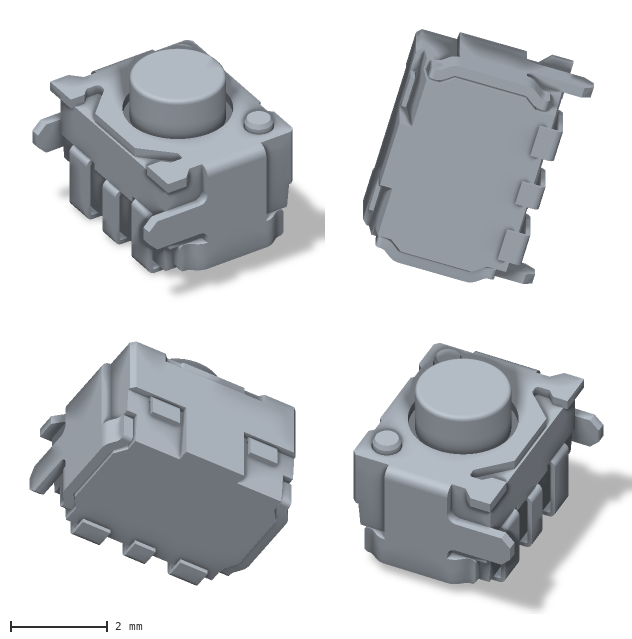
import cadquery as cq
import math


housing_bottom = 0.15
skirt_bottom = 0.2
flap_top = 0.855
front_step_z = 1.5
rear_step_z = 1.4
cover_top = 2.7
peg_shoulder = 2.8
peg_top = 2.9
button_top = 3.55

sheet = 0.22
cover_bottom = cover_top - sheet
housing_half_x = 2.01
housing_half_y = 1.6
rear_corner_chamfer = 0.1
skirt_half_x = housing_half_x + sheet

base_front_top_y = -1.552
base_front_bottom_y = -1.45
base_rear_top_y = 1.445
base_rear_bottom_y = 1.33
base_waist_half_x = 1.967
base_waist_half_y = 0.77
base_end_half_x = 1.77
base_end_half_y = 1.04
front_lip_width = 1.4
front_lip_drop = 0.15
rear_rib_width = 1.4

peg_x = 1.465
peg_y = 1.05
peg_diameter = 0.595
peg_chamfer = 0.05
peg_hole_diameter = 0.64

button_diameter = 2.0
button_fillet = 0.1
button_hole_diameter = 2.3

ear_half_x = 2.25
ear_front_y = -1.7
ear_shoulder_y = -1.245
ear_root_y = -1.02
ear_root_fillet = 0.08
front_edge_half_x = 0.757
front_edge_y = -1.55
notch_end_y = -0.91
notch_outer_x = 1.61
notch_neck_x = 1.455
notch_shoulder_y = -1.21
notch_neck_y = notch_shoulder_y - (notch_outer_x - notch_neck_x)
notch_inner_x = front_edge_half_x + (notch_end_y - front_edge_y)
notch_fillet = 0.07
rear_tab_y = 1.56
rear_tab_half_x = 0.74
rear_notch_y = 1.5
rear_notch_inner_x = 0.775
rear_notch_outer_x = 1.11
rear_notch_mouth_x = 1.2

skirt_rear_y = 0.74
skirt_front_y = -0.705
arm_tip_y = -2.15
arm_top = 1.85
arm_bottom = 1.145
arm_tip_chamfer = 0.2
arm_root_fillet = 0.2
flap_angle = math.radians(37)
flap_outer_bend = 0.366
flap_straight = 0.144
flap_return_bend = 0.196
flap_end_length = 0.105
flap_corner_fillet = 0.1

strip = 0.1
strip_bend = 0.15
terminal_front_y = -housing_half_y - strip
foot_end_y = -1.19
terminal_root_depth = 0.2
outer_terminal_x = 1.18
outer_terminal_width = 0.66
middle_terminal_width = 0.495
rear_terminal_bottom = 0.89


def block(x0, x1, y0, y1, z0, z1):
    return cq.Workplane("XY").box(x1 - x0, y1 - y0, z1 - z0, centered=False).translate((x0, y0, z0))


def extruded_across_x(profile, x0, width):
    """Extrude a closed YZ profile along +X from x0."""
    return profile.extrude(width).translate((x0, 0, 0))


def front_terminal(x, width, top):
    """C-shaped strip: root in the housing, drop along the front face, foot turned back underneath."""
    root_y = base_front_top_y + terminal_root_depth
    inner_y = terminal_front_y + strip
    bend_y = terminal_front_y + strip_bend
    inner_bend = strip_bend - strip
    profile = (
        cq.Workplane("YZ").moveTo(root_y, top).lineTo(bend_y, top)
        .radiusArc((terminal_front_y, top - strip_bend), -strip_bend)
        .lineTo(terminal_front_y, strip_bend).radiusArc((bend_y, 0), -strip_bend)
        .lineTo(foot_end_y, 0).lineTo(foot_end_y, strip)
        .lineTo(bend_y, strip).radiusArc((inner_y, strip_bend), inner_bend)
        .lineTo(inner_y, top - strip_bend).radiusArc((bend_y, top - strip), inner_bend)
        .lineTo(root_y, top - strip).close()
    )
    return extruded_across_x(profile, x - width / 2, width)


def rear_terminal(x):
    """Short L-shaped strip: root in the housing, stub hanging down at the rear face."""
    root_y = base_rear_top_y - terminal_root_depth
    inner_y = housing_half_y - strip
    inner_bend = strip_bend - strip
    profile = (
        cq.Workplane("YZ").moveTo(root_y, rear_step_z).lineTo(housing_half_y - strip_bend, rear_step_z)
        .radiusArc((housing_half_y, rear_step_z - strip_bend), strip_bend)
        .lineTo(housing_half_y, rear_terminal_bottom).lineTo(inner_y, rear_terminal_bottom)
        .lineTo(inner_y, rear_step_z - strip_bend)
        .radiusArc((inner_y - inner_bend, rear_step_z - strip), -inner_bend)
        .lineTo(root_y, rear_step_z - strip).close()
    )
    return extruded_across_x(profile, x - outer_terminal_width / 2, outer_terminal_width)


outer_terminals = [
    front_terminal(side * outer_terminal_x, outer_terminal_width, front_step_z) for side in (-1, 1)
]
middle_terminal = front_terminal(0, middle_terminal_width, front_step_z - front_lip_drop)
rear_terminals = [rear_terminal(side * outer_terminal_x) for side in (-1, 1)]
terminals = [*outer_terminals, middle_terminal, *rear_terminals]


def housing_base():
    """Drafted lower half, narrowed below the flap tops to make room for the cover's flaps."""
    drafted = extruded_across_x(
        cq.Workplane("YZ").polyline([
            (base_front_bottom_y, housing_bottom), (base_front_top_y, front_step_z),
            (0, front_step_z), (base_rear_top_y, rear_step_z), (base_rear_bottom_y, housing_bottom),
        ]).close(),
        -housing_half_x, 2 * housing_half_x,
    )
    quarter = [
        (base_waist_half_x, base_waist_half_y), (base_end_half_x, base_end_half_y),
        (base_end_half_x, housing_half_y),
    ]
    right_side = [(x, -y) for x, y in reversed(quarter)] + quarter
    left_side = [(-x, -y) for x, y in right_side]
    waist = (
        cq.Workplane("XY").workplane(offset=housing_bottom).polyline(right_side + left_side).close()
        .extrude(flap_top - housing_bottom)
    )
    upper = block(-housing_half_x, housing_half_x, -housing_half_y, housing_half_y, flap_top, front_step_z)
    return drafted.intersect(waist.union(upper))


def peg(side):
    return (
        cq.Workplane("XY").workplane(offset=cover_bottom).center(side * peg_x, peg_y)
        .circle(peg_diameter / 2).extrude(peg_top - cover_bottom)
        .faces(">Z").chamfer(peg_top - peg_shoulder, peg_chamfer)
    )


def make_housing():
    upper_profile = cq.Workplane("YZ").polyline([
        (-housing_half_y, front_step_z), (-housing_half_y, cover_bottom), (housing_half_y, cover_bottom),
        (housing_half_y, rear_step_z), (0, rear_step_z), (0, front_step_z),
    ]).close()
    body = (
        extruded_across_x(upper_profile, -housing_half_x, 2 * housing_half_x)
        .edges("|Z and >Y").chamfer(rear_corner_chamfer)
    )
    front_lip = block(-front_lip_width / 2, front_lip_width / 2, -housing_half_y, 0,
                      front_step_z - front_lip_drop, front_step_z)
    rear_rib = block(-rear_rib_width / 2, rear_rib_width / 2, 0, housing_half_y, housing_bottom, front_step_z)
    body = body.union(housing_base()).union(front_lip).union(rear_rib)
    for side in (-1, 1):
        body = body.union(peg(side))
    for terminal in terminals:
        body = body.cut(terminal)
    return body


def round_corners(plate, x, y, radius):
    """Fillet the plate's two mirrored vertical edges at (+x, y) and (-x, y)."""
    middle_z = cover_bottom + sheet / 2
    for side in (-1, 1):
        corner = cq.selectors.NearestToPointSelector((side * x, y, middle_z))
        plate = plate.edges("|Z").edges(corner).fillet(radius)
    return plate


def cover_plate():
    half = [
        (rear_tab_half_x, rear_tab_y), (rear_notch_inner_x, rear_notch_y),
        (rear_notch_outer_x, rear_notch_y), (rear_notch_mouth_x, housing_half_y),
        (housing_half_x - rear_corner_chamfer, housing_half_y),
        (housing_half_x, housing_half_y - rear_corner_chamfer),
        (housing_half_x, ear_root_y), (ear_half_x, ear_shoulder_y), (ear_half_x, ear_front_y),
        (notch_neck_x, ear_front_y), (notch_neck_x, notch_neck_y), (notch_outer_x, notch_shoulder_y),
        (notch_outer_x, notch_end_y), (notch_inner_x, notch_end_y), (front_edge_half_x, front_edge_y),
    ]
    outline = half + [(-x, y) for x, y in reversed(half)]
    plate = cq.Workplane("XY").workplane(offset=cover_bottom).polyline(outline).close().extrude(sheet)

    plate = round_corners(plate, housing_half_x, ear_root_y, ear_root_fillet)
    plate = round_corners(plate, notch_outer_x, notch_end_y, notch_fillet)
    plate = round_corners(plate, notch_inner_x, notch_end_y, notch_fillet)
    button_hole = cq.Workplane("XY").circle(button_hole_diameter / 2).extrude(cover_top)
    peg_holes = (
        cq.Workplane("XY").pushPoints([(-peg_x, peg_y), (peg_x, peg_y)])
        .circle(peg_hole_diameter / 2).extrude(cover_top)
    )
    return plate.cut(button_hole).cut(peg_holes)


def skirt():
    """Left side wall folded down from the plate, with the solder arm reaching forward."""
    wall = (
        cq.Workplane("XZ").moveTo(-housing_half_x, skirt_bottom).lineTo(-skirt_half_x, skirt_bottom)
        .lineTo(-skirt_half_x, cover_bottom).radiusArc((-housing_half_x, cover_top), sheet).close()
        .extrude(skirt_rear_y - skirt_front_y).translate((0, skirt_rear_y, 0))
    )
    arm = (
        block(-skirt_half_x, -housing_half_x, arm_tip_y, skirt_front_y, arm_bottom, arm_top)
        .edges("|X and <Y").chamfer(arm_tip_chamfer)
    )
    wall = wall.union(arm)
    for z in (arm_bottom, arm_top):
        arm_root = cq.selectors.NearestToPointSelector((-skirt_half_x + sheet / 2, skirt_front_y, z))
        wall = wall.edges(arm_root).fillet(arm_root_fillet)
    return wall


def flap():
    """Rearward S-bent flap of the left skirt, starting at Y = 0 and offset inward from the skirt."""
    sin_a = math.sin(flap_angle)
    cos_a = math.cos(flap_angle)
    start = cq.Workplane("XY").workplane(offset=skirt_bottom)

    def edge_points(convex, concave):
        """Inward offset and Y of the ends of both arcs along one face of the sheet."""
        first = (convex * (1 - cos_a), convex * sin_a)
        second = (first[0] + flap_straight * sin_a, first[1] + flap_straight * cos_a)
        third = (second[0] + concave * (1 - cos_a), second[1] + concave * sin_a)
        return first, second, third

    inner_convex = flap_outer_bend - sheet
    inner_concave = flap_return_bend + sheet
    outer = [(-skirt_half_x + dx, y) for dx, y in edge_points(flap_outer_bend, flap_return_bend)]
    inner = [(-housing_half_x + dx, y) for dx, y in edge_points(inner_convex, inner_concave)]
    end_y = outer[2][1] + flap_end_length
    return (
        start.moveTo(-skirt_half_x, 0)
        .radiusArc(outer[0], flap_outer_bend).lineTo(*outer[1]).radiusArc(outer[2], -flap_return_bend)
        .lineTo(outer[2][0], end_y).lineTo(inner[2][0], end_y).lineTo(*inner[2])
        .radiusArc(inner[1], inner_concave).lineTo(*inner[0]).radiusArc((-housing_half_x, 0), -inner_convex)
        .close().extrude(flap_top - skirt_bottom)
        .edges("|X and >Y").fillet(flap_corner_fillet)
    )


def make_cover():
    rear_flap = flap().translate((0, skirt_rear_y, 0))
    front_flap = flap().mirror("XZ").translate((0, skirt_front_y, 0))
    left_side = skirt().union(rear_flap).union(front_flap)
    return cover_plate().union(left_side).union(left_side.mirror("YZ"))


def make_button():
    return (
        cq.Workplane("XY").workplane(offset=cover_bottom)
        .circle(button_diameter / 2).extrude(button_top - cover_bottom)
        .faces(">Z").edges().fillet(button_fillet)
    )


housing = make_housing()
cover = make_cover()
button = make_button()

result = cq.Compound.makeCompound(
    [housing.val(), cover.val(), button.val()] + [terminal.val() for terminal in terminals]
)